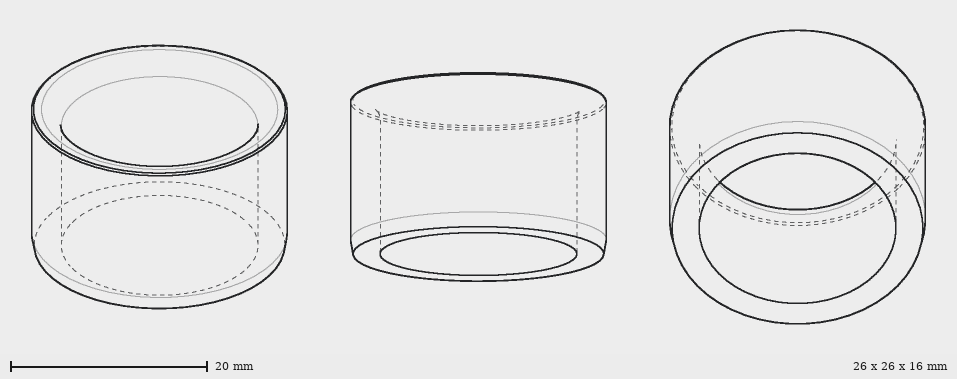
import cadquery as cq
import math

outer_diameter = 26.0
bore_diameter = 20.0
height = 16.0
entry_radius = 2.0
top_edge_chamfer = 0.2
lead_height = 1.5
lead_angle = 10.0

outer_radius = outer_diameter / 2
bore_radius = bore_diameter / 2
lead_inset = lead_height * math.tan(math.radians(lead_angle))


def bushing_body():
    """Plain sleeve with its bore."""
    return cq.Workplane("XY").circle(outer_radius).circle(bore_radius).extrude(height)


def round_bore_entry(body):
    """Round the top edge of the bore."""
    return body.faces(">Z").edges(cq.selectors.RadiusNthSelector(0)).fillet(entry_radius)


def break_top_rim(body):
    """Chamfer the outer top edge."""
    return body.faces(">Z").edges(cq.selectors.RadiusNthSelector(-1)).chamfer(top_edge_chamfer)


def lead_in_cutter():
    """Ring that leaves a cone around the bottom of the sleeve."""
    profile = [
        (outer_radius - lead_inset, 0),
        (outer_radius, 0),
        (outer_radius, lead_height),
    ]
    return cq.Workplane("XZ").polyline(profile).close().revolve(360, (0, 0, 0), (0, 1, 0))


sleeve = break_top_rim(round_bore_entry(bushing_body()))
result = sleeve.cut(lead_in_cutter())